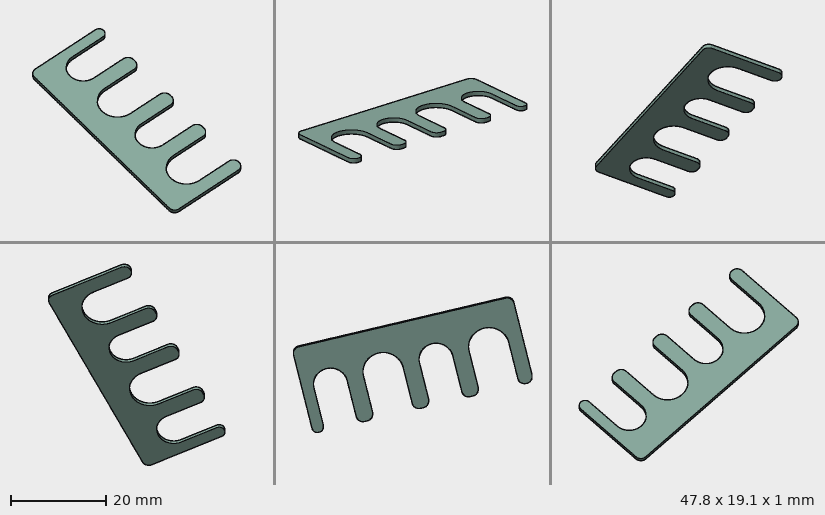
import cadquery as cq

length = 47.75
depth = 19.05
thickness = 1.0

first_finger_width = 2.5
inner_finger_width = 3.6
narrow_slot_width = 7.15
wide_slot_width = 8.55
slot_widths = [narrow_slot_width, wide_slot_width] * 2
slot_center_y = 9.55

corner_radius = 1.5
first_finger_radius = 1.2


def open_slot(left_x, width):
    """Round-bottomed slot running out through the +Y edge."""
    radius = width / 2
    right_x = left_x + width
    return (
        cq.Workplane("XY")
        .moveTo(left_x, depth)
        .lineTo(left_x, slot_center_y)
        .threePointArc((left_x + radius, slot_center_y - radius), (right_x, slot_center_y))
        .lineTo(right_x, depth)
        .close()
        .extrude(thickness)
    )


def vertical_edges_between(x_min, x_max, y_min, y_max):
    """Selector for the upright edges inside a rectangle of the plan."""
    return cq.selectors.BoxSelector((x_min, y_min, 0), (x_max, y_max, thickness))


comb = cq.Workplane("XY").box(length, depth, thickness, centered=False)
slot_left_x = first_finger_width
for slot_width in slot_widths:
    comb = comb.cut(open_slot(slot_left_x, slot_width))
    slot_left_x += slot_width + inner_finger_width

margin = 0.5
first_finger_tip = vertical_edges_between(
    -margin, first_finger_width + margin, depth - margin, depth + margin
)
other_finger_tips = vertical_edges_between(
    first_finger_width + margin, length + margin, depth - margin, depth + margin
)
base_corners = vertical_edges_between(-margin, length + margin, -margin, margin)

comb = comb.edges("|Z").edges(first_finger_tip).fillet(first_finger_radius)
comb = comb.edges("|Z").edges(other_finger_tips).fillet(corner_radius)
comb = comb.edges("|Z").edges(base_corners).fillet(corner_radius)

result = comb